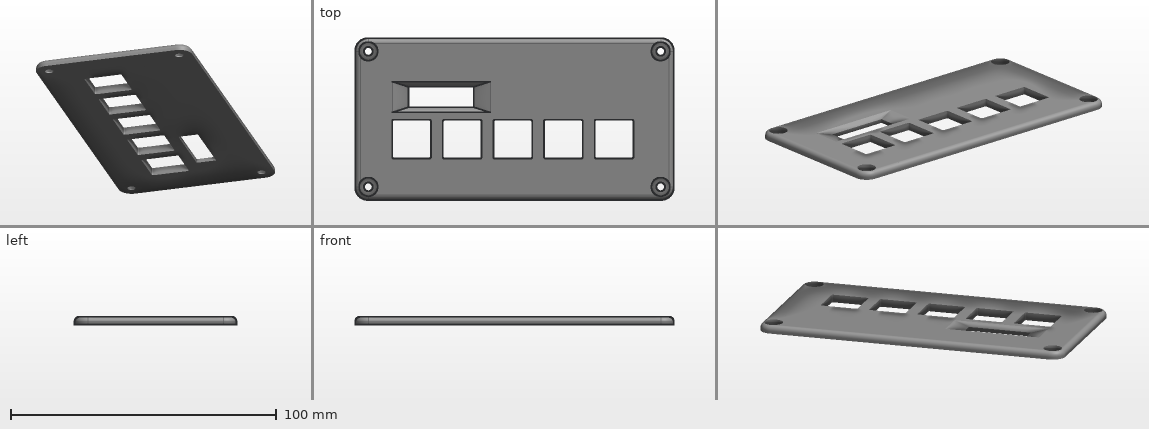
import cadquery as cq

PLATE_LENGTH = 120.0
PLATE_WIDTH = 61.0
PLATE_THICKNESS = 3.0
CORNER_RADIUS = 5.0
TOP_EDGE_RADIUS = 2.0

SCREW_HOLE_DIAMETER = 3.2
SCREW_HEAD_DIAMETER = 7.0
SCREW_HEAD_DEPTH = 2.5

KEY_COUNT = 5
KEY_PITCH = 19.05
KEY_OPENING = 14.5
KEY_CORNER_RADIUS = 0.5
FIRST_KEY_X = -38.75
KEY_ROW_Y = -7.55

WINDOW_X = -27.6
WINDOW_Y = 8.3
WINDOW_TOP_LENGTH = 36.9
WINDOW_TOP_WIDTH = 11.6
WINDOW_OPENING_LENGTH = 24.4
WINDOW_OPENING_WIDTH = 7.6
WINDOW_TAPER_DEPTH = 1.5


def make_plate():
    """Rounded rectangular plate standing on Z = 0, with its top rim rounded over."""
    plate = cq.Workplane("XY").box(
        PLATE_LENGTH, PLATE_WIDTH, PLATE_THICKNESS, centered=(True, True, False)
    )
    plate = plate.edges("|Z").fillet(CORNER_RADIUS)
    return plate.faces(">Z").edges().fillet(TOP_EDGE_RADIUS)


def make_screw_holes():
    """Through holes with flat-bottomed head recesses, one in each corner."""
    spacing_x = PLATE_LENGTH - 2 * CORNER_RADIUS
    spacing_y = PLATE_WIDTH - 2 * CORNER_RADIUS
    centers = cq.Workplane("XY").rect(spacing_x, spacing_y, forConstruction=True).vertices()
    shanks = centers.circle(SCREW_HOLE_DIAMETER / 2).extrude(PLATE_THICKNESS)
    heads = centers.circle(SCREW_HEAD_DIAMETER / 2).extrude(SCREW_HEAD_DEPTH)
    return shanks.union(heads.translate((0, 0, PLATE_THICKNESS - SCREW_HEAD_DEPTH)))


def make_key_openings():
    """Evenly spaced square through openings with small corner radii."""
    centers = [(FIRST_KEY_X + i * KEY_PITCH, KEY_ROW_Y) for i in range(KEY_COUNT)]
    openings = (
        cq.Workplane("XY")
        .pushPoints(centers)
        .rect(KEY_OPENING, KEY_OPENING)
        .extrude(PLATE_THICKNESS)
    )
    return openings.edges("|Z").fillet(KEY_CORNER_RADIUS)


def make_display_window():
    """Through window: a straight opening below, four sloping walls above."""
    straight_depth = PLATE_THICKNESS - WINDOW_TAPER_DEPTH
    opening = (
        cq.Workplane("XY")
        .center(WINDOW_X, WINDOW_Y)
        .rect(WINDOW_OPENING_LENGTH, WINDOW_OPENING_WIDTH)
        .extrude(straight_depth)
    )
    taper = (
        cq.Workplane("XY", origin=(WINDOW_X, WINDOW_Y, straight_depth))
        .rect(WINDOW_OPENING_LENGTH, WINDOW_OPENING_WIDTH)
        .workplane(offset=WINDOW_TAPER_DEPTH)
        .rect(WINDOW_TOP_LENGTH, WINDOW_TOP_WIDTH)
        .loft(ruled=True)
    )
    return opening.union(taper)


result = (
    make_plate()
    .cut(make_screw_holes())
    .cut(make_key_openings())
    .cut(make_display_window())
)